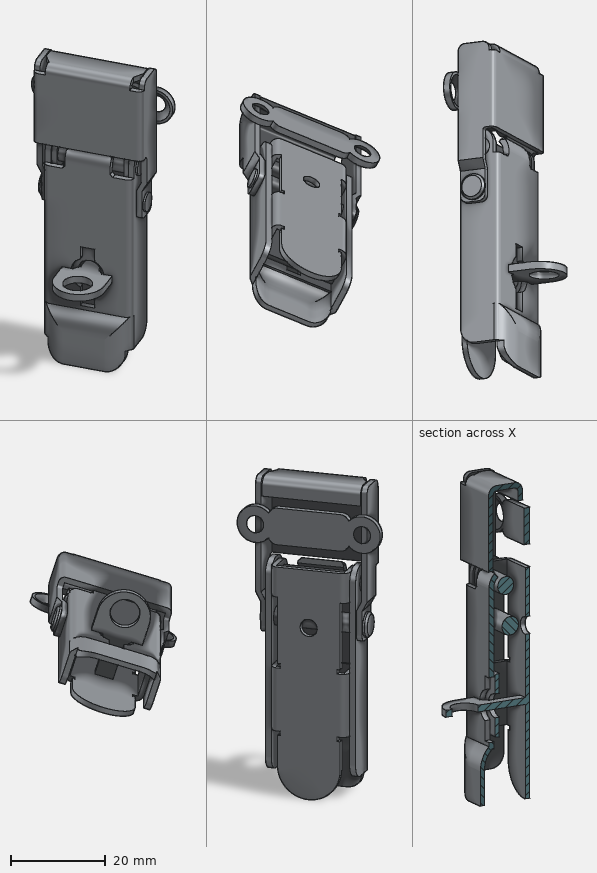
import cadquery as cq
import math


lever_sheet = 1.3
lever_half_width = 10.1
lever_inner_half = lever_half_width - lever_sheet
lever_front = -10.15
lever_inner_front = lever_front + lever_sheet
lever_wall_bottom = 5.0
lever_heel_radius = 3.2
lever_wall_top_radius = 3.3
lever_wall_top = 51.8
notch_bottom = 46.1
notch_corner = 0.6
nose_half_width = 5.1
nose_start = 47.5
nose_height = 3.2
nose_radius = 4.3
grip_sheet = 1.1
grip_front = -12.25
grip_flat_half_width = 4.75
grip_flat_top = 7.7
grip_top_radius = 7.3
grip_top_reach = 5.25
grip_side_radius = 6.0
grip_corner_radius = 4.2
keyhole_radius = 3.8
keyhole_slot_width = 3.2
keyhole_slot_bottom = 13.7
keyhole_slot_top = 27.9

clearance = 0.15

base_sheet = 1.2
base_half_width = 7.0
base_top = 50.95
flange_outer_bend = lever_inner_half - base_half_width
pivot_flange_front = -8.4
pivot_flange_height = 6.65
pivot_flange_corner = 2.45
bridge_front = lever_inner_front + clearance
bridge_height = 14.0
bridge_corner = 0.6
bridge_hole_radius = 2.6
relief_height = 1.0
relief_depth = 0.6
mounting_hole_z = 38.15
mounting_hole_radius = 1.9
staple_z = 21.55
staple_tongue_half_width = 2.0
staple_shoulder_half_width = 3.3
staple_sheet = 1.6
staple_radius = 5.7
staple_tip = -20.7
staple_back = lever_front - clearance
staple_hole_radius = 3.15
staple_hole_y = -15.95
pivot_y = -5.95
pivot_z = base_top - pivot_flange_height / 2
pivot_radius = 2.0
pivot_overhang = 0.4
pivot_dome_height = 0.6

bail_sheet = 1.25
bail_half_width = 12.45
bail_back = -1.75
bail_front = -10.2
bail_top = 70.0
bail_front_bottom = 51.2
bail_bend_radius = 2.0
bail_wall_corner = 1.55
bail_lip_bottom = 65.8
bail_plate_gap = 0.2
bail_tongue_half_width = 9.6
bail_taper_start = -5.7
bail_taper_end = -7.9
arm_front = -7.55
arm_bottom = 35.5
arm_corner = 1.5
arm_step_radius = 0.7
arm_half_width = lever_half_width + bail_sheet
joggle_top = 44.5
joggle_bottom = 42.4

rivet_y = -4.8
rivet_z = 38.65
rivet_radius = 2.1
rivet_head_radius = 2.8
rivet_head_height = 0.9
rivet_head_chamfer = 0.5
rivet_overhang = 0.4

catch_sheet = 1.5
catch_z = 60.0
catch_length = 32.0
ear_radius = 4.05
ear_x = catch_length / 2 - ear_radius
countersink_radius = 3.4
catch_body_half_length = 9.2
catch_corner = 2.2


def block(x_half, y_range, z_range):
    """A box centred on X = 0 between two Y and two Z values."""
    y_low, y_high = y_range
    z_low, z_high = z_range
    return (
        cq.Workplane("XY", origin=(0, (y_low + y_high) / 2, z_low))
        .box(2 * x_half, y_high - y_low, z_high - z_low, centered=(True, True, False))
    )


def rod_x(radius, x_start, x_end, y, z):
    """A round bar along X."""
    return cq.Workplane("YZ", origin=(x_start, y, z)).circle(radius).extrude(x_end - x_start)


def rod_y(radius, y_back, y_front, x, z):
    """A round bar along Y."""
    return cq.Workplane("XZ", origin=(x, y_back, z)).circle(radius).extrude(y_back - y_front)


def across(profile, half_width):
    """Extrude a YZ outline both ways along X."""
    return profile.extrude(half_width, both=True)


def grip_form(inset):
    """The solid under the grip's bulged surface, moved inwards by an inset."""
    front = grip_front + inset
    top_radius = grip_top_radius - inset
    side_radius = grip_side_radius - inset
    top_angle = math.asin(grip_top_reach / grip_top_radius)
    eighth_turn = math.pi / 4
    top_y = front + top_radius * (1 - math.cos(top_angle))
    top_z = grip_flat_top + top_radius * math.sin(top_angle)
    mid_y = front + top_radius * (1 - math.cos(top_angle / 2))
    mid_z = grip_flat_top + top_radius * math.sin(top_angle / 2)
    lengthwise = across(
        cq.Workplane("YZ")
        .moveTo(lever_inner_front, 0)
        .lineTo(front, 0)
        .lineTo(front, grip_flat_top)
        .threePointArc((mid_y, mid_z), (top_y, top_z))
        .lineTo(lever_inner_front, top_z)
        .close(),
        lever_half_width,
    )
    side_x = grip_flat_half_width + side_radius
    side_y = front + side_radius
    arc_x = grip_flat_half_width + side_radius * math.sin(eighth_turn)
    arc_y = front + side_radius * (1 - math.cos(eighth_turn))
    crosswise = (
        cq.Workplane("XY")
        .moveTo(-grip_flat_half_width, front)
        .lineTo(grip_flat_half_width, front)
        .threePointArc((arc_x, arc_y), (side_x, side_y))
        .lineTo(-side_x, side_y)
        .threePointArc((-arc_x, arc_y), (-grip_flat_half_width, front))
        .close()
        .extrude(nose_start)
    )
    return lengthwise.intersect(crosswise)


def grip_outline():
    """The front outline of the grip: narrower below the walls, with rounded bottom corners."""
    lower = (
        block(lever_inner_half, (grip_front, lever_inner_front), (0, nose_start))
        .edges("|Y and <Z")
        .fillet(grip_corner_radius)
    )
    upper = block(lever_half_width, (grip_front, lever_inner_front), (lever_wall_bottom, nose_start))
    return lower.union(upper)


def make_lever():
    front_range = (lever_front, lever_inner_front)
    channel = (
        block(lever_half_width, (lever_front, -base_sheet), (lever_wall_bottom, lever_wall_top))
        .edges("|Z and <Y")
        .fillet(lever_sheet)
        .cut(block(lever_inner_half, (lever_inner_front, 0), (0, bail_top)))
        .cut(block(lever_half_width, front_range, (notch_bottom, bail_top)))
    )
    wall_shape = across(
        cq.Workplane("YZ")
        .moveTo(-base_sheet, lever_wall_bottom + lever_heel_radius)
        .radiusArc((-base_sheet - lever_heel_radius, lever_wall_bottom), lever_heel_radius)
        .lineTo(lever_front, lever_wall_bottom)
        .lineTo(lever_front, notch_bottom)
        .lineTo(lever_inner_front, notch_bottom)
        .lineTo(lever_inner_front, lever_wall_top - lever_wall_top_radius)
        .radiusArc((lever_inner_front + lever_wall_top_radius, lever_wall_top), lever_wall_top_radius)
        .lineTo(-base_sheet - lever_wall_top_radius, lever_wall_top)
        .radiusArc((-base_sheet, lever_wall_top - lever_wall_top_radius), lever_wall_top_radius)
        .close(),
        lever_half_width,
    )
    lever = channel.intersect(wall_shape).union(make_nose())

    grip = grip_form(0).intersect(grip_outline())
    lever = lever.union(grip).cut(grip_form(grip_sheet))

    lever = lever.cut(rod_y(keyhole_radius, lever_inner_front, lever_front, 0, staple_z))
    lever = lever.cut(
        block(keyhole_slot_width / 2, front_range, (keyhole_slot_bottom, keyhole_slot_top))
    )

    lever = lever.cut(rod_x(pivot_radius, -lever_half_width, lever_half_width, pivot_y, pivot_z))
    return lever.cut(rod_x(rivet_radius, -lever_half_width, lever_half_width, rivet_y, rivet_z))


def make_nose():
    """The middle of the front sheet, curling back at its top."""
    angle = math.asin(nose_height / nose_radius)
    centre_y = lever_front + nose_radius
    inner_radius = nose_radius - lever_sheet

    def on_arc(radius, turn):
        return (centre_y - radius * math.cos(turn), nose_start + radius * math.sin(turn))

    strip = across(
        cq.Workplane("YZ")
        .moveTo(lever_inner_front, notch_bottom - notch_corner)
        .lineTo(lever_front, notch_bottom - notch_corner)
        .lineTo(lever_front, nose_start)
        .threePointArc(on_arc(nose_radius, angle / 2), on_arc(nose_radius, angle))
        .lineTo(*on_arc(inner_radius, angle))
        .threePointArc(on_arc(inner_radius, angle / 2), (lever_inner_front, nose_start))
        .close(),
        nose_half_width + notch_corner,
    )
    tip_z = nose_start + nose_radius * math.sin(angle)
    outline = (
        cq.Workplane("XZ")
        .polyline([
            (nose_half_width + notch_corner, notch_bottom - notch_corner),
            (nose_half_width + notch_corner, notch_bottom),
            (nose_half_width, notch_bottom + notch_corner),
            (nose_half_width, tip_z - notch_corner),
            (nose_half_width - notch_corner, tip_z),
            (0, tip_z),
            (0, notch_bottom - notch_corner),
        ])
        .close()
        .extrude(-lever_front)
    )
    return strip.intersect(outline.union(outline.mirror("YZ")))


def folded_band(front, z_centre, height, corner):
    """A solid band that turns forwards from the base plate's edges with rounded bends."""
    return (
        block(lever_inner_half, (front, 0), (z_centre - height / 2, z_centre + height / 2))
        .edges("|Z and >Y")
        .fillet(flange_outer_bend)
        .edges("|X and <Y")
        .fillet(corner)
    )


def make_pivot_flanges():
    """Two flanges facing each other, open at the front."""
    inside = block(lever_inner_half - base_sheet, (pivot_flange_front, -base_sheet), (0, base_top))
    return folded_band(pivot_flange_front, pivot_z, pivot_flange_height, pivot_flange_corner).cut(inside)


def make_bridge():
    """A closed loop of sheet lying just behind the lever, with a hole for the staple."""
    inside = block(
        lever_inner_half - base_sheet, (bridge_front + base_sheet, -base_sheet), (0, base_top)
    )
    hole = rod_y(bridge_hole_radius, -base_sheet, bridge_front, 0, staple_z)
    return folded_band(bridge_front, staple_z, bridge_height, bridge_corner).cut(inside).cut(hole)


def make_pivot():
    """The lever's pivot: a pin through the flanges, domed at -X and flat at +X."""
    pin = rod_x(pivot_radius, -lever_half_width, lever_half_width + pivot_overhang, pivot_y, pivot_z)
    dome_radius = (pivot_radius ** 2 + pivot_dome_height ** 2) / (2 * pivot_dome_height)
    dome_centre = dome_radius - pivot_dome_height - lever_half_width
    dome = (
        cq.Workplane("XY", origin=(dome_centre, pivot_y, pivot_z))
        .sphere(dome_radius)
        .intersect(rod_x(pivot_radius, -bail_half_width, -lever_half_width, pivot_y, pivot_z))
    )
    return pin.union(dome)


def make_staple():
    """The flat padlock eye, on a tongue that runs through the bridge to the base plate."""
    arc_y = staple_tip + staple_radius
    return (
        cq.Workplane("XY", origin=(0, 0, staple_z - staple_sheet / 2))
        .moveTo(-staple_tongue_half_width, -base_sheet)
        .lineTo(-staple_tongue_half_width, bridge_front)
        .lineTo(-staple_shoulder_half_width, staple_back)
        .lineTo(-staple_radius, staple_back)
        .lineTo(-staple_radius, arc_y)
        .threePointArc((0, staple_tip), (staple_radius, arc_y))
        .lineTo(staple_radius, staple_back)
        .lineTo(staple_shoulder_half_width, staple_back)
        .lineTo(staple_tongue_half_width, bridge_front)
        .lineTo(staple_tongue_half_width, -base_sheet)
        .close()
        .moveTo(0, staple_hole_y)
        .circle(staple_hole_radius)
        .extrude(staple_sheet)
    )


def make_base():
    plate = (
        block(base_half_width, (-base_sheet, 0), (base_half_width, base_top))
        .union(rod_y(base_half_width, 0, -base_sheet, 0, base_half_width))
        .cut(rod_y(mounting_hole_radius, 0, -base_sheet, 0, mounting_hole_z))
    )
    relief_offset = (bridge_height + relief_height) / 2
    for x in (-base_half_width, base_half_width):
        for z in (staple_z - relief_offset, staple_z + relief_offset):
            relief = cq.Workplane("XY", origin=(x, -base_sheet / 2, z))
            plate = plate.cut(relief.box(2 * relief_depth, base_sheet, relief_height))
    body = plate.union(make_pivot_flanges()).union(make_bridge())
    return body.union(make_pivot()).union(make_staple())


def make_bail_sides():
    """The front panel, both side walls and the joggled arms."""
    wall_front = bail_front + bail_sheet
    bend_top = bail_top - bail_bend_radius
    channel = (
        block(bail_half_width, (bail_front, bail_back), (bail_front_bottom, bend_top))
        .edges("|Z and <Y")
        .fillet(bail_sheet)
        .cut(block(bail_half_width - bail_sheet, (wall_front, bail_back), (0, bail_top)))
    )
    wall_shape = across(
        cq.Workplane("YZ")
        .moveTo(bail_back, bail_top - bail_wall_corner)
        .radiusArc((bail_back - bail_wall_corner, bail_top), -bail_wall_corner)
        .lineTo(wall_front + bail_wall_corner, bail_top)
        .radiusArc((wall_front, bail_top - bail_wall_corner), -bail_wall_corner)
        .lineTo(wall_front, bail_front_bottom)
        .lineTo(arm_front - arm_step_radius, bail_front_bottom)
        .radiusArc((arm_front, bail_front_bottom - arm_step_radius), arm_step_radius)
        .lineTo(arm_front, arm_bottom + arm_corner)
        .radiusArc((arm_front + arm_corner, arm_bottom), -arm_corner)
        .lineTo(bail_back - arm_corner, arm_bottom)
        .radiusArc((bail_back, arm_bottom + arm_corner), -arm_corner)
        .close(),
        bail_half_width,
    )
    sides = channel
    for side in (-1, 1):
        wall = (
            cq.Workplane("XZ", origin=(0, bail_back, 0))
            .polyline([
                (side * bail_half_width, bail_top),
                (side * bail_half_width, joggle_top),
                (side * arm_half_width, joggle_bottom),
                (side * arm_half_width, arm_bottom),
                (side * (arm_half_width - bail_sheet), arm_bottom),
                (side * (arm_half_width - bail_sheet), joggle_bottom),
                (side * (bail_half_width - bail_sheet), joggle_top),
                (side * (bail_half_width - bail_sheet), bail_top),
            ])
            .close()
            .extrude(bail_back - wall_front)
        )
        sides = sides.union(wall.intersect(wall_shape))
    return sides


def make_bail_hook():
    """The top plate, bent from the front panel and bent again into a lip at the back."""
    bend_z = bail_top - bail_bend_radius
    strip = across(
        cq.Workplane("YZ")
        .moveTo(bail_front, bend_z)
        .radiusArc((bail_front + bail_bend_radius, bail_top), bail_bend_radius)
        .lineTo(bail_back - bail_bend_radius, bail_top)
        .radiusArc((bail_back, bend_z), bail_bend_radius)
        .lineTo(bail_back, bail_lip_bottom)
        .lineTo(bail_back - bail_sheet, bail_lip_bottom)
        .lineTo(bail_back - bail_sheet, bend_z)
        .radiusArc((bail_back - bail_bend_radius, bail_top - bail_sheet), bail_sheet - bail_bend_radius)
        .lineTo(bail_front + bail_bend_radius, bail_top - bail_sheet)
        .radiusArc((bail_front + bail_sheet, bend_z), bail_sheet - bail_bend_radius)
        .close(),
        bail_half_width,
    )
    plate_half = bail_half_width - bail_sheet - bail_plate_gap
    plan = (
        cq.Workplane("XY")
        .polyline([
            (-plate_half, bail_back),
            (-plate_half, bail_taper_start),
            (-bail_tongue_half_width, bail_taper_end),
            (-bail_tongue_half_width, bail_front),
            (bail_tongue_half_width, bail_front),
            (bail_tongue_half_width, bail_taper_end),
            (plate_half, bail_taper_start),
            (plate_half, bail_back),
        ])
        .close()
        .extrude(bail_top)
    )
    return strip.intersect(plan)


def make_bail():
    bail = make_bail_sides().union(make_bail_hook())
    return bail.cut(rod_x(rivet_radius, -bail_half_width, bail_half_width, rivet_y, rivet_z))


def make_rivet():
    shank = rod_x(rivet_radius, -arm_half_width, arm_half_width + rivet_overhang, rivet_y, rivet_z)
    head = (
        rod_x(rivet_head_radius, -arm_half_width - rivet_head_height, -arm_half_width, rivet_y, rivet_z)
        .faces("<X")
        .chamfer(rivet_head_chamfer)
    )
    return shank.union(head)


def make_catch():
    plate = (
        block(catch_body_half_length, (-catch_sheet, 0), (catch_z - ear_radius, catch_z + ear_radius))
        .edges("|Y")
        .fillet(catch_corner)
    )
    for x in (-ear_x, ear_x):
        plate = plate.union(rod_y(ear_radius, 0, -catch_sheet, x, catch_z))
        countersink = (
            cq.Workplane("XZ", origin=(x, 0, catch_z))
            .circle(mounting_hole_radius)
            .workplane(offset=catch_sheet)
            .circle(countersink_radius)
            .loft()
        )
        plate = plate.cut(countersink)
    return plate


base = make_base()
lever = make_lever()
bail = make_bail()
rivet = make_rivet()
catch = make_catch()

result = cq.Compound.makeCompound([base.val(), lever.val(), bail.val(), rivet.val(), catch.val()])